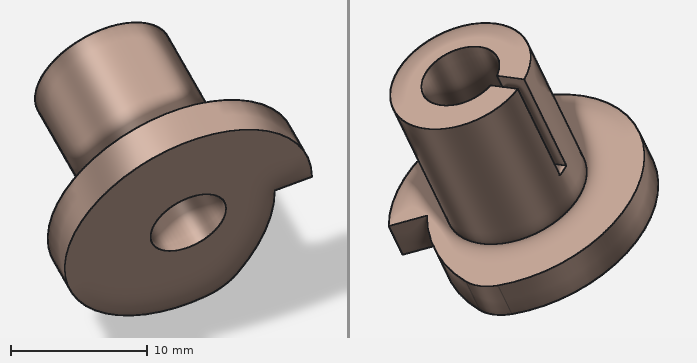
import cadquery as cq
import math

total_length = 15.0
flange_thickness = 3.0
barrel_length = total_length - flange_thickness

flange_radius = 10.0
barrel_diameter = 11.0
bore_diameter = 6.1

step_depth = 3.0
relief_radius = 13.36
nose_radius = 4.0

slot_width = 1.0
slot_length = 9.0
slot_angle = 30.0


def point_at(center, radius, angle):
    """Point on a circle in the YZ plane, with the angle in radians from +Y."""
    return (center[0] + radius * math.cos(angle), center[1] + radius * math.sin(angle))


def make_flange():
    """Disc whose rim steps inward at +Y and blends back to full radius at the bottom."""
    axis = (0.0, 0.0)
    step_bottom = flange_radius - step_depth

    relief_offset = relief_radius - step_bottom
    relief_center = (-relief_offset, 0.0)

    nose_to_axis = flange_radius - nose_radius
    nose_to_relief = relief_radius - nose_radius
    nose_y = (nose_to_relief**2 - nose_to_axis**2 - relief_offset**2) / (2 * relief_offset)
    nose_center = (nose_y, -math.sqrt(nose_to_axis**2 - nose_y**2))

    relief_end = math.atan2(nose_center[1], nose_center[0] + relief_offset)
    rim_end = math.atan2(nose_center[1], nose_center[0])

    return (
        cq.Workplane("YZ", origin=(barrel_length, 0, 0))
        .moveTo(step_bottom, 0)
        .lineTo(flange_radius, 0)
        .threePointArc((-flange_radius, 0), point_at(axis, flange_radius, rim_end))
        .threePointArc(
            point_at(nose_center, nose_radius, (rim_end + relief_end) / 2),
            point_at(relief_center, relief_radius, relief_end),
        )
        .threePointArc(
            point_at(relief_center, relief_radius, relief_end / 2),
            (step_bottom, 0),
        )
        .close()
        .extrude(flange_thickness)
    )


def make_barrel():
    return cq.Workplane("YZ").circle(barrel_diameter / 2).extrude(barrel_length)


def make_bore():
    return cq.Workplane("YZ").circle(bore_diameter / 2).extrude(total_length)


def make_slot():
    """Radial slot cutter running from the axis out past the barrel wall."""
    reach = barrel_diameter
    return (
        cq.Workplane("XY")
        .box(slot_length, reach, slot_width, centered=(False, False, True))
        .translate((0, -reach, 0))
        .rotate((0, 0, 0), (1, 0, 0), slot_angle)
    )


result = make_barrel().union(make_flange()).cut(make_bore()).cut(make_slot())